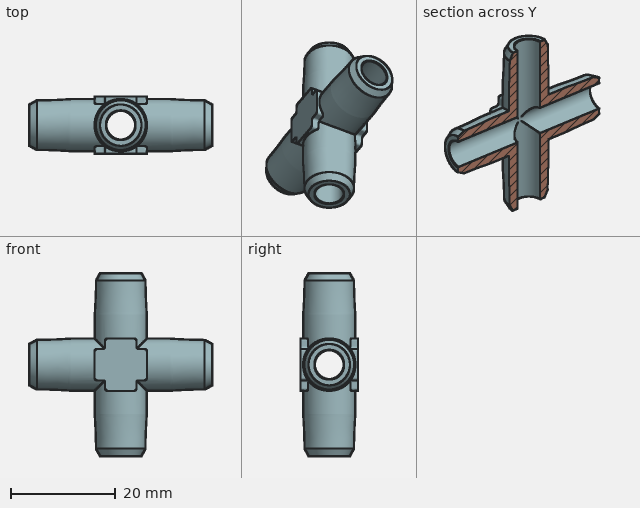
import cadquery as cq

span = 35.0
depth = 11.0
half_span = span / 2

tube_diameter = 10.0
tube_radius = tube_diameter / 2
bore_diameter = 5.5
mouth_chamfer = 0.1
taper_start = 9.52
spigot_start = 10.05
spigot_end = 16.03
spigot_start_radius = 4.97
spigot_end_radius = 4.75
tip_radius = 3.95
spigot_middle_radius = spigot_end_radius + (spigot_start_radius - spigot_end_radius) / 4

pad_length = tube_diameter
pad_arm_width = 6.0
pad_root = 3.5
corner_radius = 0.5


def make_branch():
    """Solid branch from the centre along +Z, with a slightly hollowed spigot."""
    spigot_middle = (spigot_start + spigot_end) / 2
    return (
        cq.Workplane("XZ")
        .lineTo(tube_radius, 0)
        .lineTo(tube_radius, taper_start)
        .lineTo(spigot_start_radius, spigot_start)
        .threePointArc((spigot_middle_radius, spigot_middle), (spigot_end_radius, spigot_end))
        .lineTo(tip_radius, half_span)
        .lineTo(0, half_span)
        .close()
        .revolve(360, (0, 0, 0), (0, 1, 0))
    )


def make_pads():
    """Pair of rounded cross-shaped pads, outside the tubes on -Y and +Y."""
    sketch = (
        cq.Sketch()
        .rect(pad_length, pad_arm_width)
        .rect(pad_arm_width, pad_length)
        .clean()
    )
    pad_height = depth / 2 - pad_root
    reach = (pad_arm_width + pad_length) / 4
    inner_edges = cq.selectors.BoxSelector(
        (-reach, -depth, -reach), (reach, depth, reach)
    )
    front = cq.Workplane("XZ", origin=(0, -pad_root, 0)).placeSketch(sketch).extrude(pad_height)
    front = front.edges("|Y").edges(inner_edges).fillet(corner_radius)
    outer_edges = front.edges("|Y").edges("<X or >X or <Z or >Z")
    front = outer_edges.fillet(corner_radius)
    return front.union(front.mirror("XZ"))


branch = make_branch()
result = branch
for angle in (90, 180, 270):
    result = result.union(branch.rotate((0, 0, 0), (0, 1, 0), angle))

result = result.union(make_pads())

bore_radius = bore_diameter / 2
mouth_radius = bore_radius + mouth_chamfer
bore = (
    cq.Workplane("XZ")
    .moveTo(0, -half_span)
    .lineTo(mouth_radius, -half_span)
    .lineTo(bore_radius, -half_span + mouth_chamfer)
    .lineTo(bore_radius, half_span - mouth_chamfer)
    .lineTo(mouth_radius, half_span)
    .lineTo(0, half_span)
    .close()
    .revolve(360, (0, 0, 0), (0, 1, 0))
)
result = result.cut(bore).cut(bore.rotate((0, 0, 0), (0, 1, 0), 90))